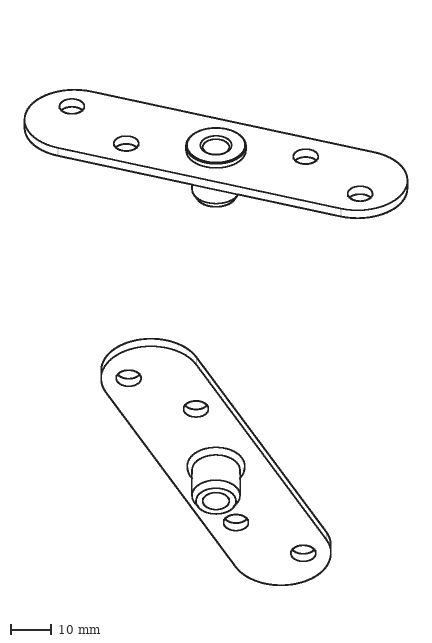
import cadquery as cq
import math

plate_length = 100
plate_width = 25
plate_thickness = 2.5
screw_hole_diameter = 6.2
outer_hole_x = 40
inner_hole_x = 22
screw_hole_y = 5

bush_height = 15.5
shank_diameter = 12
bore_diameter = 6.6
bore_chamfer = 0.6
countersink_angle = 90
head_diameter = 15
head_height = 1.5
head_chamfer = 0.25
collar_diameter = 14.4
collar_height = 1.5
tip_diameter = 10
tip_height = 1.8

head_top_z = plate_thickness + head_height
tip_z = head_top_z - bush_height


def make_plate():
    """Round-ended plate with a bush hole and four staggered screw holes."""
    screw_holes = [
        (-outer_hole_x, screw_hole_y),
        (-inner_hole_x, -screw_hole_y),
        (inner_hole_x, screw_hole_y),
        (outer_hole_x, -screw_hole_y),
    ]
    blank = cq.Workplane("XY").slot2D(plate_length, plate_width).extrude(plate_thickness)
    top = blank.faces(">Z").workplane(origin=(0, 0, plate_thickness))
    drilled = top.pushPoints(screw_holes).hole(screw_hole_diameter)
    top = drilled.faces(">Z").workplane(origin=(0, 0, plate_thickness))
    return top.hole(shank_diameter)


def make_head():
    """Disc resting on the plate, with a broken top edge."""
    head = cq.Workplane("XY").workplane(offset=plate_thickness)
    head = head.circle(head_diameter / 2).extrude(head_height)
    return head.faces(">Z").edges().chamfer(head_chamfer)


def make_shank():
    """Cylinder from the top of the head down to a tapered tip."""
    half_profile = [
        (0, tip_z),
        (tip_diameter / 2, tip_z),
        (shank_diameter / 2, tip_z + tip_height),
        (shank_diameter / 2, head_top_z),
        (0, head_top_z),
    ]
    return cq.Workplane("XZ").polyline(half_profile).close().revolve(360, (0, 0), (0, 1))


def make_collar():
    """Bulging ring under the plate: its round section is centred on the shank surface."""
    shank_radius = shank_diameter / 2
    bulge_radius = collar_diameter / 2 - shank_radius
    bulge_depth = collar_height - bulge_radius
    rim_radius = shank_radius + math.sqrt(bulge_radius**2 - bulge_depth**2)
    half_profile = (
        cq.Workplane("XZ")
        .lineTo(rim_radius, 0)
        .threePointArc((collar_diameter / 2, -bulge_depth), (shank_radius, -collar_height))
        .lineTo(0, -collar_height)
        .close()
    )
    return half_profile.revolve(360, (0, 0), (0, 1))


def make_bush():
    """Flanged bush with a through bore chamfered at the head."""
    body = make_shank().union(make_head()).union(make_collar())
    top = body.faces(">Z").workplane(origin=(0, 0, head_top_z))
    mouth_diameter = bore_diameter + 2 * bore_chamfer
    return top.cskHole(bore_diameter, mouth_diameter, countersink_angle)


plate = make_plate()
bush = make_bush()
result = cq.Compound.makeCompound([plate.val(), bush.val()])